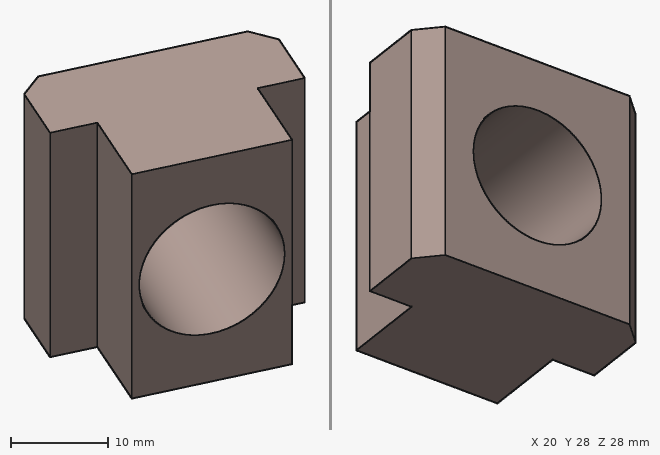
import cadquery as cq

depth = 20.0
width = 28.0
height = 28.0
flange_depth = depth / 2
neck_width = 17.6
corner_chamfer = 2.5
bore_diameter = 16.0

front_x = -depth / 2


def make_flange():
    """Wide part of the T, with its two outer vertical edges chamfered."""
    flange = cq.Workplane("XY").box(flange_depth, width, height, centered=(False, True, True))
    flange = flange.faces("<X").edges("|Z").chamfer(corner_chamfer)
    return flange.translate((front_x, 0, 0))


def make_neck():
    """Narrow part of the T, running the full depth so it merges with the flange."""
    return cq.Workplane("XY").box(depth, neck_width, height)


def make_bore():
    """Round through hole along X, centred on the flange face."""
    return cq.Workplane("YZ").circle(bore_diameter / 2).extrude(depth, both=True)


result = make_flange().union(make_neck()).cut(make_bore())